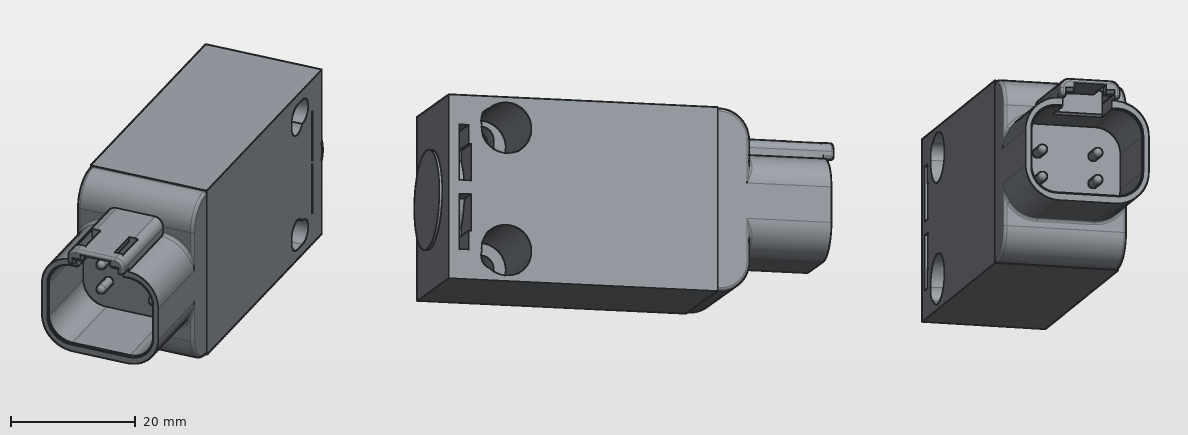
import cadquery as cq


WIDTH = 20.5
HEIGHT = 30.0
JOINT_Y = -44.55
CAP_FRONT_Y = -49.85
CAP_STEP = 0.1
CAP_ROUND = 5.0
CAP_EDGE_ROUND = 0.5

BARREL_RADIUS = 8.1
BARREL_X = WIDTH / 2 - BARREL_RADIUS
BARREL_REAR = 0.45
BARREL_Y = -3.95

SLOT_REAR_Y = -1.7
SLOT_WIDE = 2.0
SLOT_NARROW = 1.6
SLOT_INNER_Z = 1.1
SLOT_STEP_Z = 7.1
SLOT_OUTER_Z = 10.2
SLOT_DEPTH = 6.5

RIB_HEIGHT = 0.1
RIB_THICKNESS = 0.2
RIB_Y = -3.95
RIB_INNER_Z = 0.4
RIB_OUTER_Z = 9.25

HOLE_Y = -9.5
HOLE_Z = 10.0
BORE_DIAMETER = 8.3
BORE_WEB = 3.95
SLOT_DIAMETER = 4.35
SLOT_SHIFT_Y = 2.05
SLOT_SHIFT_Z = 1.05

SHROUD_FRONT_Y = -63.4
SHROUD_HEIGHT = 16.8
SHROUD_CORNER = 5.5
SHROUD_BASE_ROUND = 0.5
CAVITY_WIDTH = 18.25
CAVITY_HEIGHT = 14.05
CAVITY_CORNER = 4.1
CAVITY_RIM_CHAMFER = 0.2

PIN_DIAMETER = 1.6
PIN_LENGTH = 2.95
PIN_X = 4.6
PIN_Z = 2.25

TONGUE_FRONT_Y = -65.25
TONGUE_WIDTH = 9.9
TONGUE_TOP_Z = 11.3
TONGUE_CORNER = 1.6
TONGUE_END_ROUND = 0.45
TONGUE_LIP_ROUND = 0.6

CHANNEL_REAR_Y = -57.6
CHANNEL_WIDTH = 8.15
CHANNEL_NECK_WIDTH = 5.3
CHANNEL_TOP_Z = 10.6
SHOULDER_Z = 9.2
SHOULDER_LEAD_IN = 0.6
CHANNEL_EDGE_CHAMFER = 0.4
WINDOW_WIDTH = 1.45
WINDOW_X = 3.3
WINDOW_FRONT_Y = -63.3


def block(x_range, y_range, z_range):
    """Box between two limits along each axis."""
    (x0, x1), (y0, y1), (z0, z1) = x_range, y_range, z_range
    return cq.Workplane("XY").box(x1 - x0, y1 - y0, z1 - z0, centered=False).translate((x0, y0, z0))


def centred_block(width, y_range, z_range):
    """Box that is centred on X = 0."""
    return block((-width / 2, width / 2), y_range, z_range)


def rounded_bar(width, height, corner, front_y, rear_y):
    """Bar along Y with a rounded rectangle as its section."""
    bar = cq.Workplane("XZ", origin=(0, rear_y, 0)).rect(width, height).extrude(rear_y - front_y)
    return bar.edges("|Y").fillet(corner)


def cylinder_along_y(radius, x, z, front_y, rear_y):
    return cq.Workplane("XZ", origin=(x, rear_y, z)).circle(radius).extrude(rear_y - front_y)



def barrel():
    return cylinder_along_y(BARREL_RADIUS, BARREL_X, 0, BARREL_Y, BARREL_REAR)


def side_slot(side):
    """Slot in the -X side, narrower at its outer end; side is 1 for the upper and -1 for the lower."""
    depth = (-WIDTH / 2, -WIDTH / 2 + SLOT_DEPTH)
    wide = block(depth, (SLOT_REAR_Y - SLOT_WIDE, SLOT_REAR_Y), (SLOT_INNER_Z, SLOT_STEP_Z))
    narrow = block(depth, (SLOT_REAR_Y - SLOT_NARROW, SLOT_REAR_Y), (SLOT_STEP_Z, SLOT_OUTER_Z))
    slot = wide.union(narrow)
    return slot if side > 0 else slot.mirror("XY")


def side_rib(side):
    y_range = (RIB_Y - RIB_THICKNESS / 2, RIB_Y + RIB_THICKNESS / 2)
    rib = block((0, WIDTH / 2 + RIB_HEIGHT), y_range, (RIB_INNER_Z, RIB_OUTER_Z))
    return rib if side > 0 else rib.mirror("XY")


def mounting_hole(side):
    """Bore from the -X side, and an L-shaped slot that leads outwards and then to the rear."""
    left_plane = cq.Workplane("YZ", origin=(-WIDTH / 2, 0, 0))
    shifted_z = HOLE_Z + SLOT_SHIFT_Z
    bore = left_plane.center(HOLE_Y, HOLE_Z).circle(BORE_DIAMETER / 2).extrude(WIDTH - BORE_WEB)
    upright = (
        left_plane.center(HOLE_Y, HOLE_Z + SLOT_SHIFT_Z / 2)
        .slot2D(SLOT_SHIFT_Z + SLOT_DIAMETER, SLOT_DIAMETER, 90)
        .extrude(WIDTH)
    )
    level = (
        left_plane.center(HOLE_Y + SLOT_SHIFT_Y / 2, shifted_z)
        .slot2D(SLOT_SHIFT_Y + SLOT_DIAMETER, SLOT_DIAMETER)
        .extrude(WIDTH)
    )
    hole = bore.union(upright).union(level)
    return hole if side > 0 else hole.mirror("XY")


def make_housing():
    housing = centred_block(WIDTH, (JOINT_Y, 0), (-HEIGHT / 2, HEIGHT / 2))
    for side in (1, -1):
        housing = housing.cut(side_slot(side)).union(side_rib(side))
    housing = housing.union(barrel())
    for side in (1, -1):
        housing = housing.cut(mounting_hole(side))
    return housing



def cap_block():
    top_z = HEIGHT / 2 - CAP_STEP
    cap = centred_block(WIDTH, (CAP_FRONT_Y, JOINT_Y), (-top_z, top_z))
    cap = cap.edges("|X and <Y").fillet(CAP_ROUND)
    return cap.faces("<Y").edges("|Z").fillet(CAP_EDGE_ROUND)


def shroud():
    return rounded_bar(WIDTH, SHROUD_HEIGHT, SHROUD_CORNER, SHROUD_FRONT_Y, JOINT_Y)


def cap_with_shroud():
    """Cap and shroud, with a small round in the corner where the shroud leaves the cap front."""
    joined = cap_block().union(shroud())
    margin = SHROUD_BASE_ROUND / 2
    corner_zone = cq.selectors.BoxSelector(
        (-WIDTH / 2, CAP_FRONT_Y - margin, -SHROUD_HEIGHT / 2 - margin),
        (WIDTH / 2, CAP_FRONT_Y + margin, SHROUD_HEIGHT / 2 + margin),
    )
    corner_edges = joined.edges(corner_zone).edges("not |Z")
    return joined.newObject(corner_edges.vals()).fillet(SHROUD_BASE_ROUND)


def shroud_cavity():
    """Socket of the shroud, down to the cap front, widened by a chamfer at its rim."""
    cavity = rounded_bar(CAVITY_WIDTH, CAVITY_HEIGHT, CAVITY_CORNER, SHROUD_FRONT_Y, CAP_FRONT_Y)
    rim = rounded_bar(
        CAVITY_WIDTH + 2 * CAVITY_RIM_CHAMFER,
        CAVITY_HEIGHT + 2 * CAVITY_RIM_CHAMFER,
        CAVITY_CORNER + CAVITY_RIM_CHAMFER,
        SHROUD_FRONT_Y,
        SHROUD_FRONT_Y + 2 * CAVITY_RIM_CHAMFER,
    )
    return cavity.union(rim.faces(">Y").chamfer(CAVITY_RIM_CHAMFER))


def tongue():
    """Roof over the latch channel; its tip overhangs the shroud and has rounded lower edges."""
    base_z = SHROUD_HEIGHT / 2
    tip = centred_block(TONGUE_WIDTH, (TONGUE_FRONT_Y, SHROUD_FRONT_Y), (base_z, TONGUE_TOP_Z))
    tip = tip.edges("|Y and >Z").fillet(TONGUE_CORNER).edges("|Y and <Z").fillet(TONGUE_LIP_ROUND)
    tip = tip.faces("<Y").edges().fillet(TONGUE_END_ROUND)
    roof = centred_block(TONGUE_WIDTH, (SHROUD_FRONT_Y, JOINT_Y), (0, TONGUE_TOP_Z))
    roof = roof.edges("|Y and >Z").fillet(TONGUE_CORNER)
    return roof.union(tip)


def latch_channel():
    """T-shaped channel under the tongue that opens into the shroud cavity."""
    lead_in_end = TONGUE_FRONT_Y + SHOULDER_LEAD_IN
    y_range = (TONGUE_FRONT_Y, CHANNEL_REAR_Y)
    floor_z = CAVITY_HEIGHT / 2
    wide = centred_block(CHANNEL_WIDTH, y_range, (0, SHOULDER_Z))
    neck = centred_block(CHANNEL_NECK_WIDTH, y_range, (0, CHANNEL_TOP_Z))
    shoulder_lead_in = (
        cq.Workplane("YZ", origin=(-CHANNEL_WIDTH / 2, 0, 0))
        .moveTo(TONGUE_FRONT_Y, SHOULDER_Z)
        .lineTo(TONGUE_FRONT_Y, SHOULDER_Z + SHOULDER_LEAD_IN)
        .lineTo(lead_in_end, SHOULDER_Z)
        .close()
        .extrude(CHANNEL_WIDTH)
    )
    rear_edge_chamfer = (
        cq.Workplane("YZ", origin=(-CHANNEL_WIDTH / 2, 0, 0))
        .moveTo(CHANNEL_REAR_Y, floor_z)
        .lineTo(CHANNEL_REAR_Y, floor_z + CHANNEL_EDGE_CHAMFER)
        .lineTo(CHANNEL_REAR_Y + CHANNEL_EDGE_CHAMFER, floor_z)
        .close()
        .extrude(CHANNEL_WIDTH)
    )
    return wide.union(neck).union(shoulder_lead_in).union(rear_edge_chamfer)


def latch_window(side):
    """Opening through the tongue, behind one of the shoulders."""
    centre_x = side * WINDOW_X
    x_range = (centre_x - WINDOW_WIDTH / 2, centre_x + WINDOW_WIDTH / 2)
    return block(x_range, (WINDOW_FRONT_Y, CHANNEL_REAR_Y), (0, TONGUE_TOP_Z))


def contact_pin(x, z):
    pin = cylinder_along_y(PIN_DIAMETER / 2, x, z, CAP_FRONT_Y - PIN_LENGTH, CAP_FRONT_Y)
    tip = cq.Workplane("XY").sphere(PIN_DIAMETER / 2).translate((x, CAP_FRONT_Y - PIN_LENGTH, z))
    return pin.union(tip)


def make_connector_cap():
    cap = cap_with_shroud().union(tongue()).cut(shroud_cavity()).cut(latch_channel())
    for side in (1, -1):
        cap = cap.cut(latch_window(side))
    for x in (-PIN_X, PIN_X):
        for z in (-PIN_Z, PIN_Z):
            cap = cap.union(contact_pin(x, z))
    return cap


housing = make_housing()
connector_cap = make_connector_cap()
result = cq.Compound.makeCompound([housing.val(), connector_cap.val()])